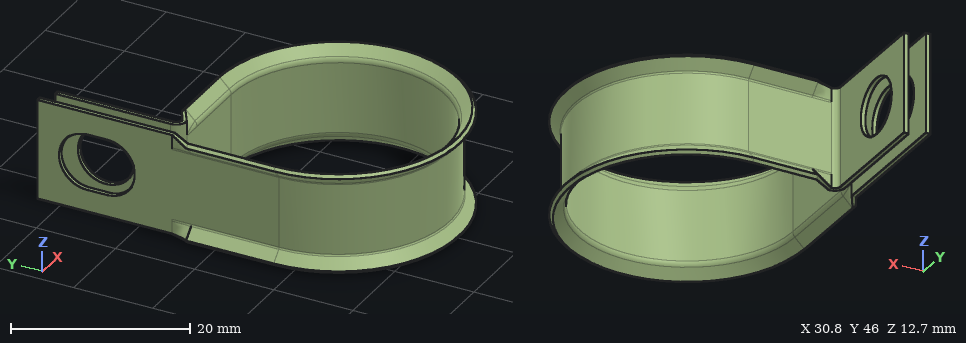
import cadquery as cq
import math

sheet = 0.6
width = 12.7
length = 45.95
flange_radius = 15.415
outer_radius = 14.1
inner_radius = outer_radius - sheet
half_width = width / 2

flare_angle = math.radians(45)
flare_bend_radius = 0.3

side_leg = 11.05
back_leg = 8.2
blend = 2.45
tab_bend_radius = 0.75
tab_stagger = 1.1
tab_end = length - flange_radius

hole_diameter = 7.07
slot_length = 9.55
hole_y = 23.0

end_step = sheet * math.cos(flare_angle)
tip_outer = (flange_radius, half_width - end_step)
tip_inner = (flange_radius - end_step, half_width)
sharp_bend_z = tip_outer[1] - (flange_radius - outer_radius)
bend_start_z = sharp_bend_z - flare_bend_radius * math.tan(flare_angle / 2)
bend_center_r = outer_radius + flare_bend_radius


def bend_point(radius, angle):
    """Point on the flare bend, turned by angle from the bend's start."""
    return (
        bend_center_r - radius * math.cos(angle),
        bend_start_z + radius * math.sin(angle),
    )


def flared_section(plane):
    inner_bend = flare_bend_radius + sheet
    half_angle = flare_angle / 2
    return (
        cq.Workplane(plane)
        .moveTo(inner_radius, bend_start_z)
        .threePointArc(bend_point(inner_bend, half_angle), bend_point(inner_bend, flare_angle))
        .lineTo(*tip_inner)
        .lineTo(*tip_outer)
        .lineTo(*bend_point(flare_bend_radius, flare_angle))
        .threePointArc(bend_point(flare_bend_radius, half_angle), (outer_radius, bend_start_z))
        .close()
    )


def flat_section(plane):
    """Unflared strip edge, with one edge for each edge of the flared section."""
    knee_z = bend_point(flare_bend_radius, flare_angle)[1]
    return cq.Workplane(plane).polyline([
        (inner_radius, bend_start_z),
        (inner_radius, knee_z),
        (inner_radius, half_width),
        (outer_radius, half_width),
        (outer_radius, knee_z),
        (outer_radius, bend_start_z),
    ]).close()


def side_plane(distance):
    return cq.Plane(origin=(0, distance, 0), xDir=(-1, 0, 0), normal=(0, 1, 0))


def back_plane(distance):
    return cq.Plane(origin=(-distance, 0, 0), xDir=(0, 1, 0), normal=(1, 0, 0))


def flattening_blend(plane_at, start):
    wires = [
        flared_section(plane_at(start)).val(),
        flat_section(plane_at(start + blend)).val(),
    ]
    return cq.Workplane(cq.Solid.makeLoft(wires, True))


def upper_flange():
    loop = flared_section(side_plane(0)).revolve(270, (0, 0), (0, 1))
    side = flared_section(side_plane(0)).extrude(side_leg)
    back = flared_section(back_plane(0)).extrude(-back_leg)
    return (
        loop.union(side).union(back)
        .union(flattening_blend(side_plane, side_leg))
        .union(flattening_blend(back_plane, back_leg))
    )


def web():
    """Cylindrical band with its two straight legs, between the flanges."""
    diagonal = math.sqrt(0.5)
    side_end = side_leg + blend
    back_end = back_leg + blend
    return (
        cq.Workplane("XY")
        .moveTo(-outer_radius, side_end)
        .lineTo(-outer_radius, 0)
        .threePointArc((outer_radius * diagonal, -outer_radius * diagonal), (0, outer_radius))
        .lineTo(-back_end, outer_radius)
        .lineTo(-back_end, inner_radius)
        .lineTo(0, inner_radius)
        .threePointArc((inner_radius * diagonal, -inner_radius * diagonal), (-inner_radius, 0))
        .lineTo(-inner_radius, side_end)
        .close()
        .extrude(bend_start_z, both=True)
    )


def straight_tab():
    start = side_leg + blend
    tab = (
        cq.Workplane("XY")
        .moveTo(-outer_radius, start)
        .lineTo(-outer_radius, tab_end)
        .lineTo(-inner_radius, tab_end)
        .lineTo(-inner_radius, start)
        .close()
        .extrude(half_width, both=True)
    )
    slot = (
        cq.Workplane("YZ", origin=(-(outer_radius + inner_radius) / 2, hole_y, 0))
        .slot2D(slot_length, hole_diameter)
        .extrude(sheet, both=True)
    )
    return tab.cut(slot)


def bent_tab():
    bend_x = -(back_leg + blend)
    outer_bend = tab_bend_radius + sheet
    bend_y = inner_radius + outer_bend
    face_x = bend_x - outer_bend
    end_y = tab_end - tab_stagger
    tab = (
        cq.Workplane("XY")
        .moveTo(bend_x, inner_radius)
        .radiusArc((face_x, bend_y), outer_bend)
        .lineTo(face_x, end_y)
        .lineTo(face_x + sheet, end_y)
        .lineTo(face_x + sheet, bend_y)
        .radiusArc((bend_x, outer_radius), -tab_bend_radius)
        .close()
        .extrude(half_width, both=True)
    )
    hole = (
        cq.Workplane("YZ", origin=(face_x + sheet / 2, hole_y, 0))
        .circle(hole_diameter / 2)
        .extrude(sheet, both=True)
    )
    return tab.cut(hole)


flange = upper_flange()
result = (
    web()
    .union(flange)
    .union(flange.mirror("XY"))
    .union(straight_tab())
    .union(bent_tab())
)